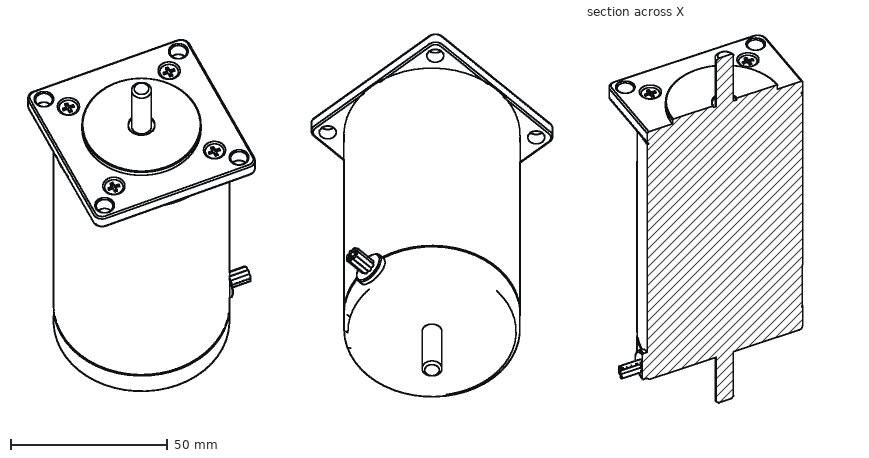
import cadquery as cq

shaft_length = 141.2
shaft_radius = 6.4 / 2
shaft_chamfer = 0.8

body_bottom = 18.9
cap_top = 28.1
plate_bottom = 115.5
plate_top = 120.6
boss_top = 122.5

body_radius = 56.3 / 2
cap_fillet = 1.3
seam_depth = 0.3

plate_side = 2 * body_radius
plate_corner_radius = 3.0
plate_chamfer = 0.5

boss_radius = 19.0
boss_chamfer = 0.3
shaft_recess_radius = 4.2
shaft_recess_depth = 0.7

mount_spacing = 47.2
mount_hole_radius = 2.7
mount_chamfer = 0.4

screw_spacing = 35.3
screw_sink_radius = 3.5
screw_head_radius = 3.0
screw_sink_depth = screw_sink_radius - screw_head_radius
cross_length = 3.7
cross_width = 0.8
cross_depth = 0.7

outlet_z = 25.1
grommet_radius = 5.4
grommet_face_y = 30.0
grommet_chamfer = 0.4
wire_count = 8
wire_radius = 0.73
wire_circle_radius = 3.8 / 2
wire_end_y = body_radius + 9.0
outlet_embedding = 4.2
outlet_root_y = body_radius - outlet_embedding


def rod(radius, bottom, top):
    """Cylinder on the Z axis between two levels."""
    return cq.Workplane("XY").workplane(offset=bottom).circle(radius).extrude(top - bottom)


def at_square(spacing, level):
    """Workplane holding the four corner points of a centred square."""
    return cq.Workplane("XY").workplane(offset=level).rect(spacing, spacing, forConstruction=True).vertices()


def make_body():
    body = rod(body_radius, body_bottom, plate_bottom).faces("<Z").edges().fillet(cap_fillet)
    seam = (
        cq.Workplane("XZ")
        .moveTo(body_radius, cap_top - seam_depth)
        .lineTo(body_radius - seam_depth, cap_top)
        .lineTo(body_radius, cap_top + seam_depth)
        .close()
        .revolve(360, (0, 0), (0, 1))
    )
    return body.cut(seam)


def make_plate():
    return (
        cq.Workplane("XY")
        .workplane(offset=plate_bottom)
        .rect(plate_side, plate_side)
        .extrude(plate_top - plate_bottom)
        .edges("|Z")
        .fillet(plate_corner_radius)
        .faces("<Z or >Z")
        .edges()
        .chamfer(plate_chamfer)
    )


def make_mount_holes():
    depth = plate_top - plate_bottom
    mouth_radius = mount_hole_radius + mount_chamfer
    bores = at_square(mount_spacing, plate_bottom).circle(mount_hole_radius).extrude(depth)
    mouths = at_square(mount_spacing, plate_top).circle(mouth_radius).extrude(-mount_chamfer, taper=45)
    return bores.union(mouths)


def make_screw_recesses():
    sinks = at_square(screw_spacing, plate_top).circle(screw_sink_radius).extrude(-screw_sink_depth, taper=45)
    head_level = plate_top - screw_sink_depth
    arms_x = at_square(screw_spacing, head_level).rect(cross_length, cross_width).extrude(-cross_depth)
    arms_y = at_square(screw_spacing, head_level).rect(cross_width, cross_length).extrude(-cross_depth)
    return sinks.union(arms_x).union(arms_y)


def make_outlet():
    outlet_plane = cq.Plane(origin=(0, outlet_root_y, outlet_z), xDir=(1, 0, 0), normal=(0, 1, 0))
    grommet = (
        cq.Workplane(outlet_plane)
        .circle(grommet_radius)
        .extrude(grommet_face_y - outlet_root_y)
        .faces(">Y")
        .edges()
        .chamfer(grommet_chamfer)
    )
    half_step = 180 / wire_count
    wires = (
        cq.Workplane(outlet_plane)
        .polarArray(wire_circle_radius, half_step, 360, wire_count)
        .circle(wire_radius)
        .extrude(wire_end_y - outlet_root_y)
    )
    return grommet.union(wires)


shaft = rod(shaft_radius, 0, shaft_length).faces("<Z or >Z").edges().chamfer(shaft_chamfer)
boss = rod(boss_radius, plate_top, boss_top).faces(">Z").edges().chamfer(boss_chamfer)
shaft_recess = rod(shaft_recess_radius, boss_top - shaft_recess_depth, boss_top)

result = (
    make_body()
    .union(make_plate())
    .union(boss)
    .cut(make_mount_holes())
    .cut(make_screw_recesses())
    .cut(shaft_recess)
    .union(make_outlet())
    .union(shaft)
)